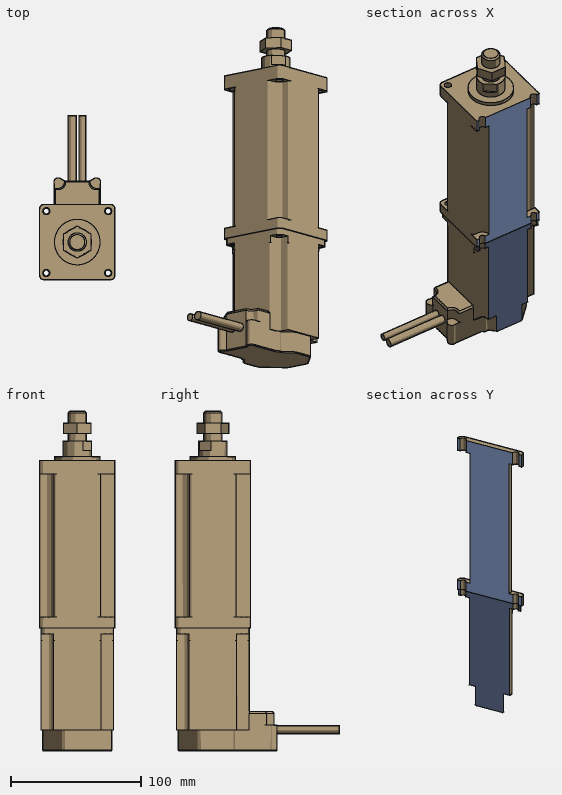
import cadquery as cq
import math


MOTOR_CASE_BOTTOM = 16.2
EDGE_ROUNDING_TOP = 85.0
COLLAR_BOTTOM = 90.2
ACTUATOR_BOTTOM = 95.0
LOWER_FLANGE_TOP = 103.0
UPPER_FLANGE_BOTTOM = 213.0
UPPER_FLANGE_TOP = 223.5
BOSS_TOP = 226.5
FLATS_BOTTOM = 231.2
SHOULDER_TOP = 238.5
NUT_BOTTOM = 244.2
NUT_TOP = 252.3
ROD_TIP = 261.5

BODY_WIDTH = 58.0
FLANGE_CORNER_RADIUS = 3.5
SCREW_OFFSET = 23.8
UPPER_HOLE_DIAMETER = 5.5
LOWER_HOLE_DIAMETER = 4.5
TUBE_NOTCH = 11.2
TUBE_NOTCH_RADIUS = 6.3
TUBE_EDGE_RADIUS = 1.7
BOSS_DIAMETER = 35.0

SHOULDER_DIAMETER = 22.0
FLATS_WIDTH = 19.0
FLATS_ANGLE = -37.5
THREAD_DIAMETER = 14.0
TIP_CHAMFER = 1.3
NUT_ACROSS_FLATS = 21.5
NUT_SIDES = 6

MOTOR_WIDTH = 56.0
COLLAR_CORNER_RADIUS = 4.2
MOTOR_NOTCH = 9.7
MOTOR_NOTCH_RADIUS = 8.0 / 2
MOTOR_EDGE_RADIUS = 0.8

CAP_WIDTH = 53.3
CAP_CORNER_CUT = 16.5
CAP_REAR_CORNER_Y = 7.8
CAP_CORNER_RADIUS = 4.5
CAP_BOTTOM_CHAMFER = 0.8
CAP_LUG_RADIUS = 2.48
CAP_LUG_X = 17.0
CAP_LUG_Y = 17.5
LUG_BLEND_RADIUS = 0.8

OUTLET_WIDTH = 35.5
OUTLET_REAR_Y = 47.0
OUTLET_TOP = 30.5
OUTLET_CHAMFER_HEIGHT = 1.5
OUTLET_CHAMFER_DEPTH = 1.0
LEDGE_TOP = 20.1
EAR_RADIUS = 3.5
EAR_X = 14.6
EAR_Y = 46.0
EAR_BLEND_RADIUS = 1.5
EAR_SLOPE = 30.0
POCKET_RADIUS = 4.7
POCKET_EDGE_RADIUS = 1.3

CABLE_END_Y = 97.3
CABLE_Z = 16.5
CABLE_X = 4.0
LARGE_CABLE_DIAMETER = 6.5
SMALL_CABLE_DIAMETER = 5.5


def square_block(width, bottom, top, corner_radius):
    """Square block on the axis with rounded upright corners."""
    block = cq.Workplane("XY").workplane(offset=bottom).rect(width, width).extrude(top - bottom)
    return block.edges("|Z").fillet(corner_radius)


def round_upright_edge(body, x, y, z, radius):
    """Fillet the upright edge whose middle is closest to the given point."""
    return body.edges("|Z").edges(cq.NearestToPointSelector((x, y, z))).fillet(radius)


def cylinder(diameter, bottom, top):
    return cq.Workplane("XY").workplane(offset=bottom).circle(diameter / 2).extrude(top - bottom)


def notched_block(width, notch, notch_radius, bottom, top, edge_radius=0.0):
    """Square block whose four upright corners are cut away by square notches with a rounded root."""
    inner_width = width - 2 * notch
    height = top - bottom
    base = cq.Workplane("XY").workplane(offset=bottom)
    along_x = base.rect(width, inner_width).extrude(height)
    along_y = base.rect(inner_width, width).extrude(height)
    if edge_radius > 0:
        along_x = along_x.edges("|Z").fillet(edge_radius)
        along_y = along_y.edges("|Z").fillet(edge_radius)
    cross = along_x.union(along_y)
    for x in (-inner_width / 2, inner_width / 2):
        for y in (-inner_width / 2, inner_width / 2):
            cross = round_upright_edge(cross, x, y, (bottom + top) / 2, notch_radius)
    return cross


def screw_holes(diameter, bottom, top):
    pitch = 2 * SCREW_OFFSET
    holes = cq.Workplane("XY").workplane(offset=bottom).rect(pitch, pitch, forConstruction=True)
    return holes.vertices().circle(diameter / 2).extrude(top - bottom)


def make_rod():
    """Threaded rod end with a shoulder that carries two wrench flats."""
    shoulder = cylinder(SHOULDER_DIAMETER, BOSS_TOP, SHOULDER_TOP)
    between_flats = (
        cq.Workplane("XY")
        .workplane(offset=FLATS_BOTTOM)
        .rect(FLATS_WIDTH, SHOULDER_DIAMETER)
        .extrude(SHOULDER_TOP - FLATS_BOTTOM)
        .rotate((0, 0, 0), (0, 0, 1), FLATS_ANGLE)
    )
    flats_waste = cylinder(SHOULDER_DIAMETER, FLATS_BOTTOM, SHOULDER_TOP).cut(between_flats)
    thread = cylinder(THREAD_DIAMETER, SHOULDER_TOP, ROD_TIP).faces(">Z").chamfer(TIP_CHAMFER)
    return shoulder.cut(flats_waste).union(thread)


def make_actuator():
    """Housing with its two flanges, front boss and rod."""
    lower_flange = square_block(BODY_WIDTH, ACTUATOR_BOTTOM, LOWER_FLANGE_TOP, FLANGE_CORNER_RADIUS)
    upper_flange = square_block(BODY_WIDTH, UPPER_FLANGE_BOTTOM, UPPER_FLANGE_TOP, FLANGE_CORNER_RADIUS)
    lower_flange = lower_flange.cut(screw_holes(LOWER_HOLE_DIAMETER, ACTUATOR_BOTTOM, LOWER_FLANGE_TOP))
    upper_flange = upper_flange.cut(screw_holes(UPPER_HOLE_DIAMETER, UPPER_FLANGE_BOTTOM, UPPER_FLANGE_TOP))
    tube = notched_block(
        BODY_WIDTH, TUBE_NOTCH, TUBE_NOTCH_RADIUS, LOWER_FLANGE_TOP, UPPER_FLANGE_BOTTOM, TUBE_EDGE_RADIUS
    )
    boss = cylinder(BOSS_DIAMETER, UPPER_FLANGE_TOP, BOSS_TOP)
    return tube.union(lower_flange).union(upper_flange).union(boss).union(make_rod())


def make_nut():
    """Hexagon nut on the rod thread, two of its flats facing along X."""
    half_side_angle = 180 / NUT_SIDES
    across_corners = NUT_ACROSS_FLATS / math.cos(math.radians(half_side_angle))
    hexagon = (
        cq.Workplane("XY")
        .workplane(offset=NUT_BOTTOM)
        .polygon(NUT_SIDES, across_corners)
        .extrude(NUT_TOP - NUT_BOTTOM)
        .rotate((0, 0, 0), (0, 0, 1), half_side_angle)
    )
    return hexagon.cut(cylinder(THREAD_DIAMETER, NUT_BOTTOM, NUT_TOP))


def make_motor_case():
    """Motor case with notched corners under a full square collar that takes the screws."""
    collar = square_block(MOTOR_WIDTH, COLLAR_BOTTOM, ACTUATOR_BOTTOM, COLLAR_CORNER_RADIUS)
    sharp_part = notched_block(
        MOTOR_WIDTH, MOTOR_NOTCH, MOTOR_NOTCH_RADIUS, EDGE_ROUNDING_TOP, COLLAR_BOTTOM
    )
    collar = collar.cut(screw_holes(LOWER_HOLE_DIAMETER, COLLAR_BOTTOM, ACTUATOR_BOTTOM))
    rounded_part = notched_block(
        MOTOR_WIDTH, MOTOR_NOTCH, MOTOR_NOTCH_RADIUS, MOTOR_CASE_BOTTOM, EDGE_ROUNDING_TOP, MOTOR_EDGE_RADIUS
    )
    return rounded_part.union(sharp_part).union(collar)


def make_cap_plate():
    """Octagonal plate under the motor, narrowing towards the cable outlet, with a lug on each side."""
    half = CAP_WIDTH / 2
    front_corner = half - CAP_CORNER_CUT
    neck = OUTLET_WIDTH / 2
    neck_y = CAP_REAR_CORNER_Y + half - neck
    right_side = [
        (front_corner, -half),
        (half, -front_corner),
        (half, CAP_REAR_CORNER_Y),
        (neck, neck_y),
        (neck, OUTLET_REAR_Y),
    ]
    left_side = [(-x, y) for x, y in reversed(right_side)]
    plate = cq.Workplane("XY").polyline(right_side + left_side).close().extrude(MOTOR_CASE_BOTTOM)
    level = MOTOR_CASE_BOTTOM / 2
    for x, y in right_side[:3] + left_side[2:]:
        plate = round_upright_edge(plate, x, y, level, CAP_CORNER_RADIUS)
    lugs = (
        cq.Workplane("XY")
        .pushPoints([(-CAP_LUG_X, CAP_LUG_Y), (CAP_LUG_X, CAP_LUG_Y)])
        .circle(CAP_LUG_RADIUS)
        .extrude(MOTOR_CASE_BOTTOM)
    )
    plate = plate.union(lugs)
    diagonal_reach = CAP_LUG_RADIUS * math.sin(math.radians(45))
    for side in (-1, 1):
        plate = round_upright_edge(plate, side * neck, CAP_LUG_Y + CAP_LUG_RADIUS, level, LUG_BLEND_RADIUS)
        diagonal_x = side * (CAP_LUG_X + diagonal_reach)
        plate = round_upright_edge(plate, diagonal_x, CAP_LUG_Y - diagonal_reach, level, LUG_BLEND_RADIUS)
    return plate


def make_ear(side):
    """Round screw ear at a rear corner of the outlet, sloping down to its rear wall."""
    slope = math.radians(EAR_SLOPE)
    tangent_x = EAR_X - EAR_RADIUS * math.sin(slope)
    tangent_y = EAR_Y + EAR_RADIUS * math.cos(slope)
    slope_end_x = tangent_x - (tangent_y - OUTLET_REAR_Y) / math.tan(slope)
    web_points = [
        (side * EAR_X, EAR_Y),
        (side * tangent_x, tangent_y),
        (side * slope_end_x, OUTLET_REAR_Y),
        (side * slope_end_x, EAR_Y),
    ]
    web = cq.Workplane("XY").polyline(web_points).close().extrude(LEDGE_TOP)
    ear = cq.Workplane("XY").center(side * EAR_X, EAR_Y).circle(EAR_RADIUS).extrude(LEDGE_TOP)
    return ear.union(web)


def make_ear_pocket(side):
    """Clearance above an ear, round on the inner side and open to the outside."""
    base = cq.Workplane("XY", origin=(side * EAR_X, EAR_Y, LEDGE_TOP))
    height = OUTLET_TOP - LEDGE_TOP
    round_end = base.circle(POCKET_RADIUS).extrude(height)
    opening = base.center(side * POCKET_RADIUS, 0).rect(2 * POCKET_RADIUS, 2 * POCKET_RADIUS)
    return round_end.union(opening.extrude(height))


def make_outlet():
    """Cable outlet block with chamfered top, two screw ears and the pockets above them."""
    outlet = cq.Workplane("XY").box(OUTLET_WIDTH, OUTLET_REAR_Y, OUTLET_TOP, centered=(True, False, False))
    half_width = OUTLET_WIDTH / 2
    pocket_level = (LEDGE_TOP + OUTLET_TOP) / 2
    for side in (-1, 1):
        outlet = outlet.cut(make_ear_pocket(side))
        outlet = round_upright_edge(
            outlet, side * half_width, EAR_Y - POCKET_RADIUS, pocket_level, POCKET_EDGE_RADIUS
        )
    outlet = outlet.faces(">Z").chamfer(OUTLET_CHAMFER_DEPTH, OUTLET_CHAMFER_HEIGHT)
    ear_root_y = EAR_Y - math.sqrt(EAR_RADIUS**2 - (half_width - EAR_X) ** 2)
    for side in (-1, 1):
        outlet = outlet.union(make_ear(side))
        outlet = round_upright_edge(outlet, side * half_width, ear_root_y, LEDGE_TOP / 2, EAR_BLEND_RADIUS)
    return outlet


def make_cable(x, diameter):
    """Straight cable running rearwards from the rear wall of the outlet."""
    section = cq.Workplane("XZ", origin=(x, OUTLET_REAR_Y, CABLE_Z)).circle(diameter / 2)
    return section.extrude(OUTLET_REAR_Y - CABLE_END_Y)


def make_motor():
    """Motor case with its end cap, cable outlet and two cables."""
    cap = make_cap_plate().union(make_outlet())
    cap = cap.faces("<Z").chamfer(CAP_BOTTOM_CHAMFER)
    motor = make_motor_case().union(cap)
    motor = motor.union(make_cable(-CABLE_X, LARGE_CABLE_DIAMETER))
    return motor.union(make_cable(CABLE_X, SMALL_CABLE_DIAMETER))


actuator = make_actuator()
nut = make_nut()
motor = make_motor()

result = cq.Compound.makeCompound([actuator.val(), nut.val(), motor.val()])